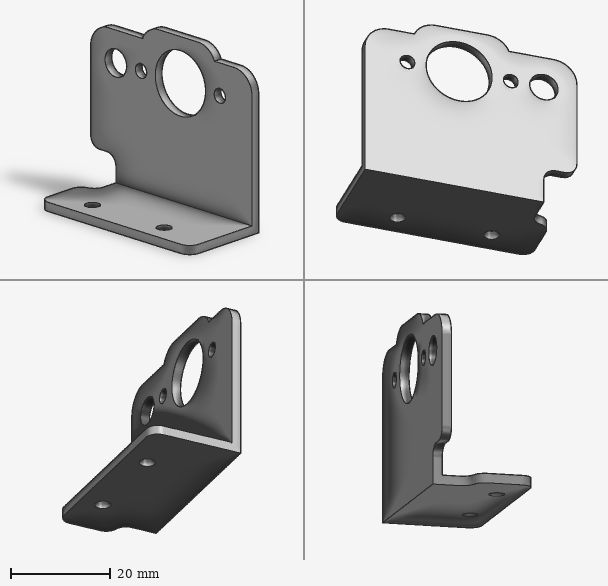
import cadquery as cq
import math

width = 45.0
depth = 20.0
height = 37.5
thickness = 2.0

corner_radius = 2.5
shoulder_radius = 5.0
shoulder_height = 34.5
notch_x = 7.0
notch_size = 8.0
base_left = 3.0
crown_center_x = 24.5
crown_flat_half = 5.5

bore_x = 25.0
bore_z = 27.5
bore_diameter = 14.0
side_hole_x = 7.0
side_hole_diameter = 6.0
screw_offset = 11.0
screw_diameter = 3.1
base_hole_xs = (13.0, 33.0)
base_hole_y = -15.0
base_hole_diameter = 3.2


def arc_point(center, radius, degrees):
    """Point on a circle at an angle measured from the first sketch axis."""
    angle = math.radians(degrees)
    return (center[0] + radius * math.cos(angle), center[1] + radius * math.sin(angle))


def add_arc(sketch, center, radius, start, end):
    """Draw an arc from the sketch's current point, which lies at the start angle."""
    middle = arc_point(center, radius, (start + end) / 2)
    return sketch.threePointArc(middle, arc_point(center, radius, end))


def make_upright():
    """Upright plate with rounded shoulders, a raised crown and a lower left notch."""
    crown_left = (crown_center_x - crown_flat_half, height - shoulder_radius)
    crown_right = (crown_center_x + crown_flat_half, height - shoulder_radius)
    crown_angle = math.degrees(math.asin((shoulder_height - crown_left[1]) / shoulder_radius))
    shoulder_z = shoulder_height - shoulder_radius
    left_shoulder = (shoulder_radius, shoulder_z)
    right_shoulder = (width - shoulder_radius, shoulder_z)
    notch_center = (notch_x - corner_radius, notch_size - corner_radius)
    lower_left = (corner_radius, notch_size + corner_radius)

    outline = cq.Workplane("XZ").moveTo(notch_x, 0).lineTo(width, 0).lineTo(width, shoulder_z)
    outline = add_arc(outline, right_shoulder, shoulder_radius, 0, 90)
    outline = outline.lineTo(*arc_point(crown_right, shoulder_radius, crown_angle))
    outline = add_arc(outline, crown_right, shoulder_radius, crown_angle, 90)
    outline = outline.lineTo(crown_left[0], height)
    outline = add_arc(outline, crown_left, shoulder_radius, 90, 180 - crown_angle)
    outline = outline.lineTo(shoulder_radius, shoulder_height)
    outline = add_arc(outline, left_shoulder, shoulder_radius, 90, 180)
    outline = outline.lineTo(0, lower_left[1])
    outline = add_arc(outline, lower_left, corner_radius, 180, 270)
    outline = outline.lineTo(notch_center[0], notch_size)
    outline = add_arc(outline, notch_center, corner_radius, 90, 0)
    return outline.close().extrude(thickness)


def make_base():
    """Base plate whose left edge steps outward through two tangent arcs."""
    step = notch_x - base_left
    sweep = math.degrees(math.acos(1 - step / 2 / corner_radius))
    rise = corner_radius * math.sin(math.radians(sweep))
    inner_center = (notch_x - corner_radius, -notch_size + rise)
    outer_center = (base_left + corner_radius, -notch_size - rise)
    front_center_y = -depth + corner_radius
    front_left = (base_left + corner_radius, front_center_y)
    front_right = (width - corner_radius, front_center_y)

    outline = cq.Workplane("XY").moveTo(width, 0).lineTo(notch_x, 0).lineTo(notch_x, inner_center[1])
    outline = add_arc(outline, inner_center, corner_radius, 0, -sweep)
    outline = add_arc(outline, outer_center, corner_radius, 180 - sweep, 180)
    outline = outline.lineTo(base_left, front_center_y)
    outline = add_arc(outline, front_left, corner_radius, 180, 270)
    outline = outline.lineTo(front_right[0], -depth)
    outline = add_arc(outline, front_right, corner_radius, 270, 360)
    return outline.close().extrude(thickness)


def upright_hole(x, diameter):
    """Cutter through the upright plate, level with the bore."""
    return cq.Workplane("XZ").center(x, bore_z).circle(diameter / 2).extrude(thickness)


def base_hole(x):
    """Cutter through the base plate."""
    return cq.Workplane("XY").center(x, base_hole_y).circle(base_hole_diameter / 2).extrude(thickness)


result = make_upright().union(make_base())
result = result.cut(upright_hole(bore_x, bore_diameter))
result = result.cut(upright_hole(side_hole_x, side_hole_diameter))
for side in (-1, 1):
    result = result.cut(upright_hole(bore_x + side * screw_offset, screw_diameter))
for hole_x in base_hole_xs:
    result = result.cut(base_hole(hole_x))